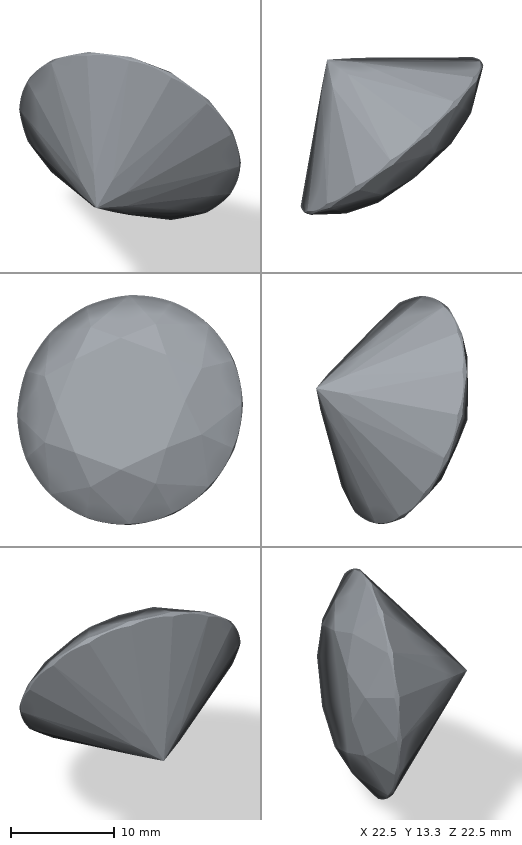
import cadquery as cq
import math

girdle_radius = 11.27
total_depth = 13.3
crown_height = 3.18
girdle_thickness = 0.52
table_radius = 6.5
star_tip_radius = 8.52
pavilion_tip_radius = 2.5
main_count = 8

main_step = 360 / main_count
half_step = main_step / 2
quarter_step = main_step / 4
cos_half = math.cos(math.radians(half_step))
cos_quarter = math.cos(math.radians(quarter_step))

girdle_top = girdle_thickness / 2
girdle_bottom = -girdle_thickness / 2
table_y = girdle_top + crown_height
culet_y = table_y - total_depth

crown_slope = crown_height / (girdle_radius - table_radius)
star_tip_y = table_y - crown_slope * (star_tip_radius * cos_half - table_radius)
pavilion_slope = (girdle_bottom - culet_y) / girdle_radius
pavilion_tip_y = culet_y + pavilion_slope * pavilion_tip_radius * cos_half

cutter_size = 4 * girdle_radius


def cut_facets(stone, count, first_angle, inner, outer):
    """Cut a ring of flat facets; inner and outer are (radial, Y) points on each facet's centre line."""
    run = outer[0] - inner[0]
    rise = outer[1] - inner[1]
    side = 1 if rise < 0 else -1
    for i in range(count):
        angle = math.radians(first_angle + i * 360 / count)
        across, up = math.cos(angle), math.sin(angle)
        plane = cq.Plane(
            origin=(outer[0] * across, outer[1], outer[0] * up),
            xDir=(-up, 0, across),
            normal=(-side * rise * across, side * run, -side * rise * up),
        )
        cutter = cq.Workplane(plane).rect(cutter_size, cutter_size).extrude(cutter_size)
        stone = stone.cut(cutter)
    return stone


stone = (
    cq.Workplane("XZ", origin=(0, table_y, 0))
    .circle(girdle_radius)
    .extrude(total_depth)
)

stone = cut_facets(stone, main_count, 0, (0, culet_y), (girdle_radius, girdle_bottom))
stone = cut_facets(
    stone, 2 * main_count, quarter_step,
    (pavilion_tip_radius * cos_quarter, pavilion_tip_y),
    (girdle_radius * cos_quarter, girdle_bottom),
)

stone = cut_facets(stone, main_count, 0, (table_radius, table_y), (girdle_radius, girdle_top))
stone = cut_facets(
    stone, main_count, half_step,
    (table_radius * cos_half, table_y),
    (star_tip_radius, star_tip_y),
)
stone = cut_facets(
    stone, 2 * main_count, quarter_step,
    (star_tip_radius * cos_quarter, star_tip_y),
    (girdle_radius * cos_quarter, girdle_top),
)

result = stone